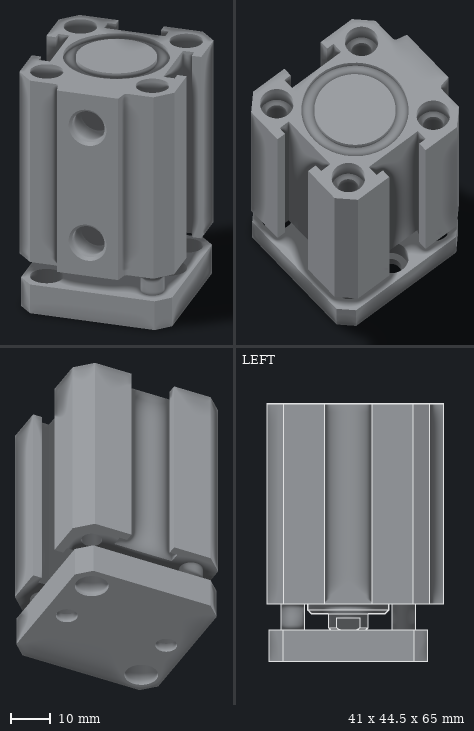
import cadquery as cq
import math

plate_thickness = 8.0
gap = 6.5
housing_height = 50.5
housing_bottom = plate_thickness + gap
housing_top = housing_bottom + housing_height

housing_width = 41.0
housing_half = housing_width / 2
housing_chamfer = 4.2

rib_height = 3.5
rib_face_width = 16.2
rib_side_angle = 12.0
rib_root_radius = 1.0

slot_mouth_width = 12.0
slot_inner_width = 16.2
slot_lip = 2.5
slot_depth = 5.5

corner_offset = 14.0
bolt_diameter = 5.3
counterbore_diameter = 8.5
counterbore_depth = 5.5
bolt_corners = [(-1, -1), (1, 1)]
pin_corners = [(-1, 1), (1, -1)]
pin_diameter = 6.0

recess_diameter = 27.1
recess_depth = 1.5
boss_diameter = 20.5
boss_height = recess_depth

collar_diameter = 20.5
collar_height = 2.5
collar_chamfer = 1.0

port_diameter = 8.57
port_mouth_diameter = 10.0
port_chamfer = (port_mouth_diameter - port_diameter) / 2
port_depth = 8.0
port_end_distance = 9.25

rod_diameter = 10.0
rod_end_chamfer = 0.5
rod_flat_width = 8.0
rod_flat_height = 3.0

plate_width = 40.0
plate_chamfer = 3.5
screw_diameter = 5.5
screw_head_diameter = 9.0
screw_head_depth = 5.5


def cylinder(diameter, bottom, height, x=0.0, y=0.0):
    """Vertical cylinder standing on the level `bottom`."""
    return cq.Workplane("XY", origin=(x, y, bottom)).circle(diameter / 2).extrude(height)


def chamfered_block(width, height, chamfer, bottom):
    """Square block with its four vertical edges chamfered."""
    block = cq.Workplane("XY", origin=(0, 0, bottom)).rect(width, width).extrude(height)
    return block.edges("|Z").chamfer(chamfer)


def corner_point(corner):
    """Centre of the hole or pin in the corner given by its X and Y signs."""
    x_sign, y_sign = corner
    return x_sign * corner_offset, y_sign * corner_offset


def port_rib():
    """Rib with leaning sides and concave roots, running the height of the housing."""
    lean = math.radians(rib_side_angle)
    face_half = rib_face_width / 2
    root_half = face_half + rib_height * math.tan(lean)
    tangent_length = rib_root_radius * math.tan((math.pi / 2 - lean) / 2)
    base_y = -housing_half
    face_y = base_y - rib_height
    fillet_x = root_half + tangent_length
    fillet_y = base_y - rib_root_radius
    side_x = root_half - tangent_length * math.sin(lean)
    side_y = base_y - tangent_length * math.cos(lean)
    middle_angle = (math.pi / 2 + math.pi - lean) / 2
    middle_x = fillet_x + rib_root_radius * math.cos(middle_angle)
    middle_y = fillet_y + rib_root_radius * math.sin(middle_angle)
    return (
        cq.Workplane("XY", origin=(0, 0, housing_bottom))
        .moveTo(-fillet_x, base_y)
        .threePointArc((-middle_x, middle_y), (-side_x, side_y))
        .lineTo(-face_half, face_y)
        .lineTo(face_half, face_y)
        .lineTo(side_x, side_y)
        .threePointArc((middle_x, middle_y), (fillet_x, base_y))
        .lineTo(fillet_x, 0)
        .lineTo(-fillet_x, 0)
        .close()
        .extrude(housing_height)
    )


def t_slot(turn):
    """Full-height T-slot cutter for the +Y face, turned about Z by `turn` degrees."""
    middle_z = housing_bottom + housing_height / 2
    mouth_y = housing_half - slot_lip / 2
    mouth = cq.Workplane("XY").box(slot_mouth_width, slot_lip, housing_height)
    inner_y = housing_half - (slot_lip + slot_depth) / 2
    inner = cq.Workplane("XY").box(slot_inner_width, slot_depth - slot_lip, housing_height)
    cutter = mouth.translate((0, mouth_y, middle_z)).union(inner.translate((0, inner_y, middle_z)))
    return cutter.rotate((0, 0, 0), (0, 0, 1), turn)


def port(level):
    """Blind port cutter with a chamfered mouth, entering from the rib face."""
    profile = [
        (0, 0),
        (port_mouth_diameter / 2, 0),
        (port_diameter / 2, port_chamfer),
        (port_diameter / 2, port_depth),
        (0, port_depth),
    ]
    cutter = cq.Workplane("XY").polyline(profile).close().revolve(360, (0, 0), (0, 1))
    return cutter.translate((0, -housing_half - rib_height, level))


def make_housing():
    housing = chamfered_block(housing_width, housing_height, housing_chamfer, housing_bottom)
    housing = housing.union(port_rib())

    for turn in (0, 90, -90):
        housing = housing.cut(t_slot(turn))

    for corner in bolt_corners + pin_corners:
        x, y = corner_point(corner)
        housing = housing.cut(cylinder(bolt_diameter, housing_bottom, housing_height, x, y))
        counterbore_bottom = housing_top - counterbore_depth
        housing = housing.cut(cylinder(counterbore_diameter, counterbore_bottom, counterbore_depth, x, y))

    recess_floor = housing_top - recess_depth
    housing = housing.cut(cylinder(recess_diameter, recess_floor, recess_depth))
    housing = housing.union(cylinder(boss_diameter, recess_floor, boss_height))

    for level in (housing_bottom + port_end_distance, housing_top - port_end_distance):
        housing = housing.cut(port(level))

    collar = cylinder(collar_diameter, housing_bottom - collar_height, collar_height)
    return housing.union(collar.faces("<Z").chamfer(collar_chamfer))


def piston_rod():
    """Rod from the plate to the collar, with two wrench flats facing -X and +X."""
    rod_height = gap - collar_height
    rod = cylinder(rod_diameter, plate_thickness, rod_height).faces("<Z").chamfer(rod_end_chamfer)
    flats = (
        cq.Workplane("XY", origin=(0, 0, plate_thickness))
        .rect(rod_diameter, rod_diameter)
        .rect(rod_flat_width, rod_diameter)
        .extrude(rod_flat_height)
    )
    return rod.cut(flats)


def make_end_plate():
    """End plate in one piece with the piston rod and the guide pins."""
    plate = chamfered_block(plate_width, plate_thickness, plate_chamfer, 0)

    for corner in bolt_corners:
        x, y = corner_point(corner)
        plate = plate.cut(cylinder(counterbore_diameter, 0, plate_thickness, x, y))

    for x in (-corner_offset, corner_offset):
        plate = plate.cut(cylinder(screw_diameter, 0, plate_thickness, x))
        head_bottom = plate_thickness - screw_head_depth
        plate = plate.cut(cylinder(screw_head_diameter, head_bottom, screw_head_depth, x))

    for corner in pin_corners:
        x, y = corner_point(corner)
        plate = plate.union(cylinder(pin_diameter, plate_thickness, gap, x, y))

    return plate.union(piston_rod())


housing = make_housing()
end_plate = make_end_plate()

result = cq.Compound.makeCompound([housing.val(), end_plate.val()])